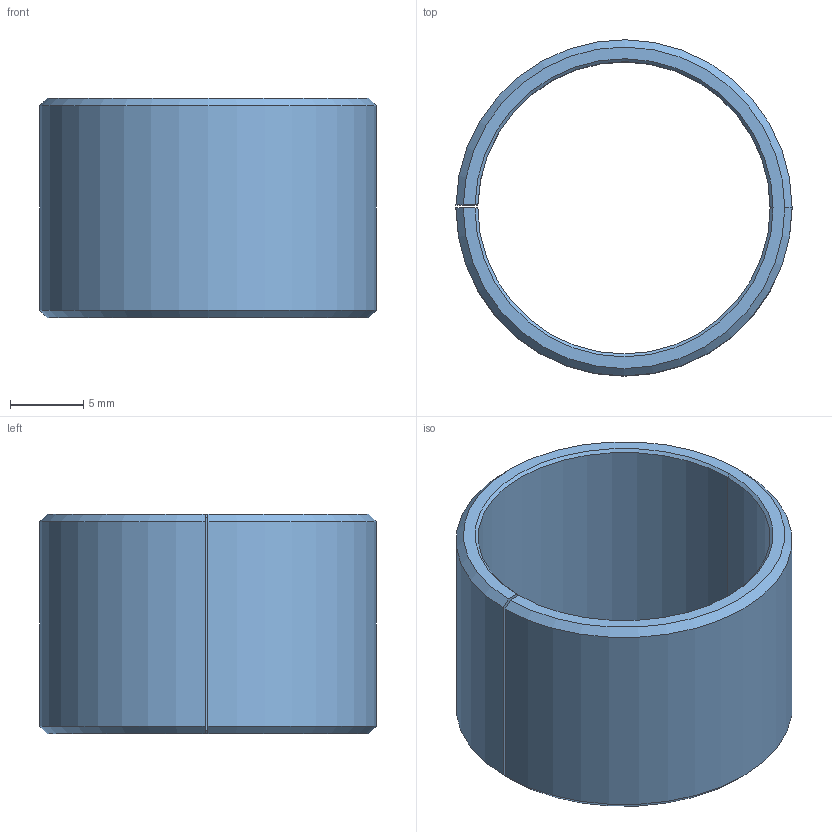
import cadquery as cq

outer_diameter = 23.0
bore_diameter = 20.0
length = 15.0
outer_chamfer = 0.5
bore_chamfer = 0.2
slit_width = 0.2

outer_radius = outer_diameter / 2
bore_radius = bore_diameter / 2


def bushing_sleeve():
    """Revolve the wall section, with chamfers on both ends, about Z."""
    section = [
        (bore_radius, bore_chamfer),
        (bore_radius + bore_chamfer, 0),
        (outer_radius - outer_chamfer, 0),
        (outer_radius, outer_chamfer),
        (outer_radius, length - outer_chamfer),
        (outer_radius - outer_chamfer, length),
        (bore_radius + bore_chamfer, length),
        (bore_radius, length - bore_chamfer),
    ]
    return (
        cq.Workplane("XZ")
        .polyline(section)
        .close()
        .revolve(360, (0, 0), (0, 1))
    )


def joint_slit():
    """Full-length slit on the -X side, with one face on the XZ plane and its width toward +Y."""
    return cq.Workplane("XY").box(outer_radius, slit_width, length, centered=False).translate(
        (-outer_radius, 0, 0)
    )


result = bushing_sleeve().cut(joint_slit())